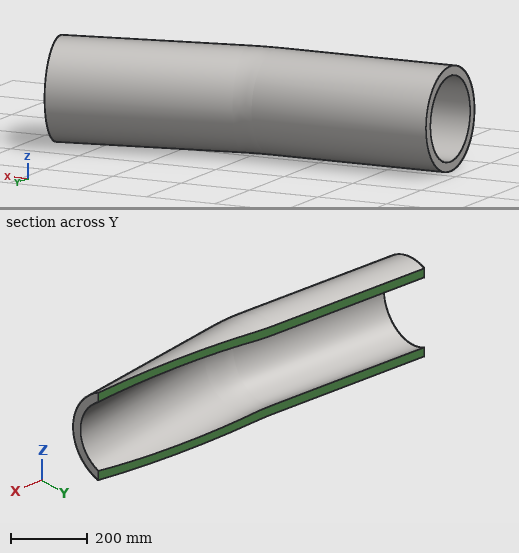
import cadquery as cq
import math

outer_diameter = 280.0
inner_diameter = 229.0
bend_angle = 11.0
bend_radius = 1.5 * outer_diameter
overall_length = 1117.0

cos_bend = math.cos(math.radians(bend_angle))
sin_bend = math.sin(math.radians(bend_angle))
leg_length = (overall_length - (bend_radius + outer_diameter / 2) * sin_bend) / (1 + cos_bend)


def ring(plane):
    """Pipe cross-section on the given plane."""
    return cq.Workplane(plane).circle(outer_diameter / 2).circle(inner_diameter / 2)


inlet_leg = ring("YZ").extrude(leg_length)

bend_start = cq.Plane(origin=(leg_length, 0, 0), xDir=(0, 1, 0), normal=(1, 0, 0))
bend = ring(bend_start).revolve(bend_angle, (bend_radius, 0, 0), (bend_radius, 1, 0))

bend_end = cq.Plane(
    origin=(leg_length + bend_radius * sin_bend, bend_radius * (1 - cos_bend), 0),
    xDir=(-sin_bend, cos_bend, 0),
    normal=(cos_bend, sin_bend, 0),
)
outlet_leg = ring(bend_end).extrude(leg_length)

result = inlet_leg.union(bend).union(outlet_leg)